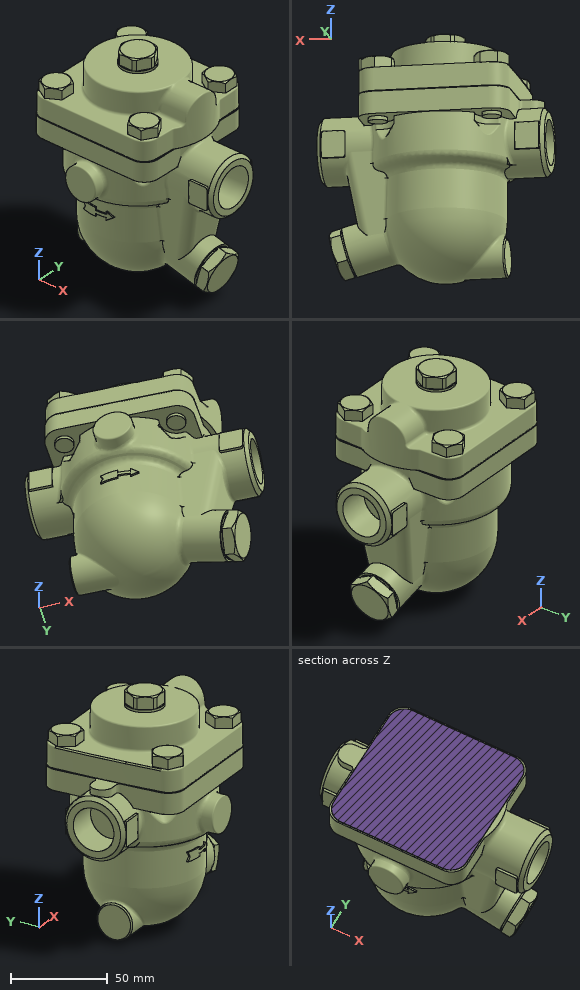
import cadquery as cq
import math

ON_SURFACE = 0.001
NEAR = 1.0
TALL = 90.0
OVERLAP = 6.0

UPPER_R = 39.0
BOWL_R = 32.0
SHOULDER_TOP_Z = -14.1
SHOULDER_BOTTOM_Z = -16.5
SHOULDER_FILLET = 4.2
DOME_Z = -40.3
UPPER_WALL_BOTTOM_Z = -11.0
BOWL_WALL_TOP_Z = -19.0

FLANGE_BOTTOM_Z = 9.7
SPLIT_Z = 22.0
COVER_TOP_Z = 34.6
PLATE_HALF_WIDTH = 40.0
PLATE_CORNER_R = 9.2
COVER_SIDE_X = 39.3
COVER_BOW = 0.9
COVER_EDGE_FILLET = 0.8
BULGE_CENTRE_X = 9.5
COVER_BULGE_R = 35.7
FLANGE_BULGE_R = 33.0
BULGE_FILLET = 2.5
GASKET_GAP = 0.3
GASKET_INSET = 0.8
FLANGE_TOP_Z = SPLIT_Z - GASKET_GAP

CAP_R = 56.5 / 2
CAP_TOP_Z = 49.7
CAP_TOP_FILLET = 1.2
CAP_BASE_FILLET = 1.9
PASSAGE_R = 12.2
PASSAGE_Z = 37.2
PASSAGE_BASE_FILLET = 2.4

BOLT_POS = 30.0
BOLT_FLATS = 16.0
BOLT_HEAD_TOP_Z = 41.1
BOLT_D = 10.0
BOLT_END_Z = 7.7
RELIEF_R = 9.0
RELIEF_CONE_Z = 5.8
RELIEF_TIP_Z = -5.5
RELIEF_EDGE_FILLET = 1.3
HEX_CHAMFER_ANGLE = 30.0
HEX_FACE_RATIO = 0.97
HEX_CLEARANCE = 1.05

TOP_PLUG_D = 21.0
TOP_PLUG_ROUND_D = 20.8
TOP_PLUG_FLATS = 19.0
TOP_PLUG_COLLAR = 1.4
TOP_PLUG_Z = 58.2

PORT_R = 36.0 / 2
INLET_X = -55.0
OUTLET_X = 65.0
PORT_CHAMFER = 2.1
PORT_ROOT_FILLET = 2.0
PORT_FLARE_R = 19.8
BORE_MOUTH_R = 12.0
BORE_END_R = 11.7
THREAD_LENGTH = 12.0
BORE_DEPTH = 18.0
FLAT_LENGTH = 12.5
FLAT_HEIGHT = 14.2
INLET_FLAT_X = -46.05
OUTLET_FLAT_X = 56.0
OUTLET_FLAT_CORNER_R = 1.2

LUG_R = 6.2
LUG_X = -46.0
LUG_TOP_Z = FLANGE_TOP_Z
LUG_ROOT_FILLET = 2.0

BOSS_R = 21.0 / 2
FRONT_BOSS_Z = -2.8
FRONT_BOSS_Y = -46.0
LOW_BOSS_X = -32.9
LOW_BOSS_Z = -60.6
BOSS_EDGE = 0.8
FRONT_BOSS_FILLET = 2.5
LOW_BOSS_FILLET = 1.5

STRAINER_ANGLE = 15.0
STRAINER_END_X = 50.5
STRAINER_END_Z = -53.8
STRAINER_R = 27.0 / 2
STRAINER_LENGTH = 40.0
GASKET_R = 12.4
GASKET_THICKNESS = 0.9
STRAINER_PLUG_FLATS = 24.0
STRAINER_PLUG_THICKNESS = 6.6
STRAINER_ROOT_FILLET = 3.5

RIB_EDGE_ANGLE = 10.7
RIB_TOP_Z = 0.0
RIB_TOP_X = 52.8
RIB_BOTTOM_Z = -54.0
RIB_TOP_HALF_WIDTH = 17.8
RIB_SIDE_SLOPE = 0.09
RIB_EDGE_FILLET = 6.0
RIB_ROOT_FILLET = 2.0
RIB_ROOT_TOP_Z = -4.0

ARROW_Z = -26.0
ARROW_TAIL_X = -10.3
ARROW_NOTCH_X = -8.8
ARROW_STEP_X = -0.7
ARROW_HEAD_X = 6.0
ARROW_TIP_X = 10.2
ARROW_HALF_HEIGHT = 2.7
ARROW_SHAFT_HALF_HEIGHT = 1.0
ARROW_HEIGHT = 0.9


def cylinder_between(start, direction, radius, length):
    """A solid cylinder from a start point along a direction."""
    solid = cq.Solid.makeCylinder(radius, length, cq.Vector(*start), cq.Vector(*direction))
    return cq.Workplane(obj=solid)


def fillet_meeting_edges(combined, first, second, radius):
    """Fillet the edges of a combined shape that lie on the surfaces of both its inputs."""
    first_faces = cq.Compound.makeCompound(first.faces().vals())
    second_faces = cq.Compound.makeCompound(second.faces().vals())
    meeting_edges = []
    for edge in combined.edges().vals():
        middle = cq.Vertex.makeVertex(*edge.positionAt(0.5).toTuple())
        if max(middle.distance(first_faces), middle.distance(second_faces)) < ON_SURFACE:
            meeting_edges.append(edge)
    return combined.newObject(meeting_edges).fillet(radius)


def blend(body, part, radius):
    """Join a part to a body and fillet where their surfaces meet."""
    return fillet_meeting_edges(body.union(part), body, part, radius)


def relieve(body, cutter, radius):
    """Cut a body and round the edges of the cut."""
    return fillet_meeting_edges(body.cut(cutter), body, cutter, radius)


def hex_head(flats, thickness, round_d=math.inf):
    """Hexagonal head on the XY plane, corners on X, with a chamfered top and optional round corners."""
    corner_d = flats / math.cos(math.radians(30))
    disc_r = min(round_d, corner_d * HEX_CLEARANCE) / 2
    chamfer_width = disc_r - HEX_FACE_RATIO * flats / 2
    drop = chamfer_width * math.tan(math.radians(HEX_CHAMFER_ANGLE))
    hexagon = cq.Workplane("XY").polygon(6, corner_d).extrude(thickness)
    disc = cq.Workplane("XY").circle(disc_r).extrude(thickness)
    disc = disc.faces(">Z").edges().chamfer(drop, chamfer_width)
    return hexagon.intersect(disc)


def make_bowl():
    profile = (
        cq.Workplane("XZ")
        .moveTo(0, FLANGE_BOTTOM_Z + OVERLAP)
        .lineTo(UPPER_R, FLANGE_BOTTOM_Z + OVERLAP)
        .lineTo(UPPER_R, SHOULDER_TOP_Z)
        .lineTo(BOWL_R, SHOULDER_BOTTOM_Z)
        .lineTo(BOWL_R, DOME_Z)
        .radiusArc((0, DOME_Z - BOWL_R), BOWL_R)
        .close()
    )
    bowl = profile.revolve(360, (0, 0, 0), (0, 1, 0))
    middle = (SHOULDER_TOP_Z + SHOULDER_BOTTOM_Z) / 2
    margin = SHOULDER_TOP_Z - SHOULDER_BOTTOM_Z
    box = cq.selectors.BoxSelector(
        (-UPPER_R, -UPPER_R, middle - margin), (UPPER_R, UPPER_R, middle + margin)
    )
    return bowl.edges("%CIRCLE").edges(box).fillet(SHOULDER_FILLET)


def plate(bottom_z, top_z, side_x, bow, bulge_r):
    """Square plate with rounded corners, bowed X sides and an arc bulge toward +X."""
    half = PLATE_HALF_WIDTH
    outline = cq.Workplane("XY", origin=(0, 0, bottom_z)).moveTo(-side_x, -half).lineTo(side_x, -half)
    if bow:
        outline = outline.threePointArc((side_x + bow, 0), (side_x, half))
        outline = outline.lineTo(-side_x, half)
        outline = outline.threePointArc((-side_x - bow, 0), (-side_x, -half))
    else:
        outline = outline.lineTo(side_x, half).lineTo(-side_x, half)
    body = outline.close().extrude(top_z - bottom_z)
    body = body.edges("|Z").fillet(PLATE_CORNER_R)
    bulge = (
        cq.Workplane("XY", origin=(BULGE_CENTRE_X, 0, bottom_z)).circle(bulge_r).extrude(top_z - bottom_z)
    )
    body = body.union(bulge)
    near_bulge = cq.selectors.BoxSelector((0, -BOLT_POS, bottom_z), (OUTLET_X, BOLT_POS, top_z))
    return body.edges("|Z").edges(near_bulge).fillet(BULGE_FILLET)


def make_flange():
    """Body flange with the cover gasket, set back slightly, on top."""
    flange = plate(FLANGE_BOTTOM_Z, FLANGE_TOP_Z, PLATE_HALF_WIDTH, 0, FLANGE_BULGE_R)
    gasket_width = 2 * (PLATE_HALF_WIDTH - GASKET_INSET)
    gasket = cq.Workplane("XY", origin=(0, 0, FLANGE_TOP_Z - GASKET_GAP)).rect(gasket_width, gasket_width)
    gasket = gasket.extrude(2 * GASKET_GAP).edges("|Z").fillet(PLATE_CORNER_R)
    return flange.union(gasket)


def make_passage():
    """Side passage: half cylinder on a straight-sided foot, ending on the bulge arc."""
    foot_height = PASSAGE_Z - SPLIT_Z
    foot = cq.Workplane("XY").box(OUTLET_X, 2 * PASSAGE_R, foot_height, centered=(False, True, False))
    passage = foot.translate((0, 0, SPLIT_Z))
    passage = passage.union(cylinder_between((0, 0, PASSAGE_Z), (1, 0, 0), PASSAGE_R, OUTLET_X))
    limit = (
        cq.Workplane("XY", origin=(BULGE_CENTRE_X, 0, SPLIT_Z))
        .circle(COVER_BULGE_R)
        .extrude(PASSAGE_Z + PASSAGE_R)
    )
    return passage.intersect(limit)


def make_cover():
    cover = plate(SPLIT_Z, COVER_TOP_Z, COVER_SIDE_X, COVER_BOW, COVER_BULGE_R)
    cover = cover.union(make_passage())
    passage_foot = cq.selectors.BoxSelector(
        (0, -PASSAGE_R - NEAR, COVER_TOP_Z - NEAR), (OUTLET_X, PASSAGE_R + NEAR, COVER_TOP_Z + NEAR)
    )
    cover = cover.edges("|X").edges(passage_foot).fillet(PASSAGE_BASE_FILLET)

    cap = cq.Workplane("XY", origin=(0, 0, SPLIT_Z)).circle(CAP_R).extrude(CAP_TOP_Z - SPLIT_Z)
    cap = cap.faces(">Z").edges().fillet(CAP_TOP_FILLET)
    cover = cover.union(cap)
    reach = CAP_R + NEAR
    cap_root = cq.selectors.BoxSelector(
        (-reach, -reach, COVER_TOP_Z - NEAR), (reach, reach, COVER_TOP_Z + NEAR), boundingbox=True
    )
    cover = cover.edges("%CIRCLE").edges(cap_root).fillet(CAP_BASE_FILLET)

    front_rim = cq.selectors.NearestToPointSelector((0, -PLATE_HALF_WIDTH, COVER_TOP_Z))
    return cover.edges(front_rim).fillet(COVER_EDGE_FILLET)


def corner_points():
    signs = (-1, 1)
    return [(x * BOLT_POS, y * BOLT_POS) for x in signs for y in signs]


def make_bolt(x, y):
    head = hex_head(BOLT_FLATS, BOLT_HEAD_TOP_Z - COVER_TOP_Z)
    if x * y > 0:
        head = head.rotate((0, 0, 0), (0, 0, 1), 90)
    head = head.translate((x, y, COVER_TOP_Z))
    shank = cylinder_between((x, y, BOLT_END_Z), (0, 0, 1), BOLT_D / 2, COVER_TOP_Z - BOLT_END_Z)
    return head.union(shank)


def make_bolt_relief(x, y):
    profile = (
        cq.Workplane("XZ")
        .moveTo(0, RELIEF_TIP_Z)
        .lineTo(RELIEF_R, RELIEF_CONE_Z)
        .lineTo(RELIEF_R, SPLIT_Z)
        .lineTo(0, SPLIT_Z)
        .close()
    )
    return profile.revolve(360, (0, 0, 0), (0, 1, 0)).translate((x, y, 0))


def make_port(end_x):
    direction = math.copysign(1, end_x)
    port = cylinder_between((0, 0, 0), (direction, 0, 0), PORT_R, abs(end_x))
    return port.faces(">X" if direction > 0 else "<X").edges().chamfer(PORT_CHAMFER)


def tall_cylinder(radius, centre_x=0):
    """Upright cylinder long enough to stand in for one wall of the body."""
    return cq.Workplane("XY").center(centre_x, 0).circle(radius).extrude(TALL, both=True)


def make_port_root(end_x):
    """The port with its fillet against the upper bowl wall, trimmed to the port's surroundings."""
    port = make_port(end_x)
    root = blend(tall_cylinder(UPPER_R), port, PORT_ROOT_FILLET)
    direction = (math.copysign(1, end_x), 0, 0)
    root = root.intersect(cylinder_between((0, 0, 0), direction, PORT_FLARE_R, abs(end_x)))
    above_shoulder = cq.Workplane("XY").box(TALL * 2, TALL, TALL, centered=(True, True, False))
    root = root.intersect(above_shoulder.translate((0, 0, SHOULDER_TOP_Z)))
    return root.union(port)


def make_bulge_root():
    """Fillet between the flange bulge and the outlet, within the height of the flange."""
    bulge = tall_cylinder(FLANGE_BULGE_R, BULGE_CENTRE_X)
    root = blend(bulge, make_port(OUTLET_X), PORT_ROOT_FILLET)
    zone = cq.Workplane("XY").box(
        OUTLET_X - FLAT_LENGTH - BOLT_POS, 2 * PORT_R, FLANGE_TOP_Z - FLANGE_BOTTOM_Z,
        centered=(False, True, False),
    )
    return root.intersect(zone.translate((BOLT_POS, 0, FLANGE_BOTTOM_Z)))


def make_port_bore(end_x):
    """Tapered thread bore followed by a plain bore, cut inward from the port face."""
    profile = (
        cq.Workplane("XY")
        .lineTo(0, BORE_MOUTH_R)
        .lineTo(THREAD_LENGTH, BORE_END_R)
        .lineTo(BORE_DEPTH, BORE_END_R)
        .lineTo(BORE_DEPTH, 0)
        .close()
    )
    bore = profile.revolve(360, (0, 0, 0), (1, 0, 0))
    if end_x > 0:
        bore = bore.mirror("YZ")
    return bore.translate((end_x, 0, 0))


def make_port_flats(centre_x, corner_r):
    flats = cq.Workplane("XY").box(FLAT_LENGTH, 2 * PORT_R, FLAT_HEIGHT)
    if corner_r:
        flats = flats.edges("|Y").fillet(corner_r)
    return flats.translate((centre_x, 0, 0))


def make_lug():
    """Round-ended lug between the inlet and the flange, flared where it meets the flange."""
    length = -PLATE_HALF_WIDTH - LUG_X
    height = LUG_TOP_Z - FLANGE_BOTTOM_Z
    half_width = 2 * LUG_R
    lug = cq.Workplane("XY").circle(LUG_R).extrude(height)
    bar = cq.Workplane("XY").box(length + OVERLAP, 2 * LUG_R, height, centered=(False, True, False))
    strip = cq.Workplane("XY").box(OVERLAP, 2 * half_width, height, centered=(False, True, False))
    lug = lug.union(bar).union(strip.translate((length, 0, 0)))
    lug = lug.translate((LUG_X, 0, FLANGE_BOTTOM_Z))
    corners = cq.selectors.BoxSelector(
        (-PLATE_HALF_WIDTH - NEAR, NEAR - half_width, FLANGE_BOTTOM_Z),
        (-PLATE_HALF_WIDTH + NEAR, half_width - NEAR, LUG_TOP_Z),
    )
    return lug.edges("|Z").edges(corners).fillet(LUG_ROOT_FILLET)


def make_front_boss():
    boss = cylinder_between((0, 0, FRONT_BOSS_Z), (0, -1, 0), BOSS_R, -FRONT_BOSS_Y)
    return boss.faces("<Y").edges().fillet(BOSS_EDGE)


def make_low_boss():
    boss = cylinder_between((LOW_BOSS_X, 0, LOW_BOSS_Z), (1, 0, 0), BOSS_R, -LOW_BOSS_X)
    return boss.faces("<X").edges().chamfer(BOSS_EDGE)


def strainer_point(distance):
    """Point on the strainer axis, measured outward from the end of its holder."""
    angle = math.radians(STRAINER_ANGLE)
    return (
        STRAINER_END_X + distance * math.cos(angle),
        0,
        STRAINER_END_Z - distance * math.sin(angle),
    )


def strainer_direction():
    angle = math.radians(STRAINER_ANGLE)
    return (math.cos(angle), 0, -math.sin(angle))


def make_strainer_holder():
    return cylinder_between(
        strainer_point(-STRAINER_LENGTH), strainer_direction(), STRAINER_R, STRAINER_LENGTH
    )


def make_strainer_plug():
    gasket = cylinder_between(
        strainer_point(-OVERLAP), strainer_direction(), GASKET_R, GASKET_THICKNESS + OVERLAP
    )
    head = hex_head(STRAINER_PLUG_FLATS, STRAINER_PLUG_THICKNESS)
    head = head.rotate((0, 0, 0), (0, 1, 0), 90 + STRAINER_ANGLE)
    head = head.translate(strainer_point(GASKET_THICKNESS))
    return gasket.union(head)


def make_rib():
    height = RIB_TOP_Z - RIB_BOTTOM_Z
    bottom_x = RIB_TOP_X - height * math.tan(math.radians(RIB_EDGE_ANGLE))
    bottom_half_width = RIB_TOP_HALF_WIDTH - height * RIB_SIDE_SLOPE
    axis_slope = math.tan(math.radians(STRAINER_ANGLE))
    inner_z = STRAINER_END_Z + axis_slope * STRAINER_END_X
    outer_z = inner_z - axis_slope * bottom_x
    side = (
        cq.Workplane("XZ")
        .moveTo(0, RIB_TOP_Z)
        .lineTo(RIB_TOP_X, RIB_TOP_Z)
        .lineTo(bottom_x, RIB_BOTTOM_Z)
        .lineTo(bottom_x, outer_z)
        .lineTo(0, inner_z)
        .close()
        .extrude(RIB_TOP_HALF_WIDTH, both=True)
    )
    front = (
        cq.Workplane("YZ")
        .moveTo(-RIB_TOP_HALF_WIDTH, RIB_TOP_Z)
        .lineTo(RIB_TOP_HALF_WIDTH, RIB_TOP_Z)
        .lineTo(bottom_half_width, RIB_BOTTOM_Z)
        .lineTo(-bottom_half_width, RIB_BOTTOM_Z)
        .close()
        .extrude(RIB_TOP_X)
    )
    rib = side.intersect(front)
    outer_point = ((RIB_TOP_X + bottom_x) / 2, 0, (RIB_TOP_Z + RIB_BOTTOM_Z) / 2)
    outer_face = rib.faces(cq.selectors.NearestToPointSelector(outer_point))
    return outer_face.edges("not |Y").fillet(RIB_EDGE_FILLET)


def make_rib_root(wall_r, bottom_z, top_z):
    """Fillets between the rib sides and one cylindrical wall of the bowl."""
    root = blend(tall_cylinder(wall_r), make_rib(), RIB_ROOT_FILLET)
    width = 2 * (RIB_TOP_HALF_WIDTH + 2 * RIB_ROOT_FILLET)
    zone = cq.Workplane("XY").box(wall_r, width, top_z - bottom_z, centered=(False, True, False))
    return root.intersect(zone.translate((wall_r / 2, 0, bottom_z)))


def make_top_plug():
    seat_z = CAP_TOP_Z + TOP_PLUG_COLLAR
    collar = cylinder_between((0, 0, SPLIT_Z), (0, 0, 1), TOP_PLUG_D / 2, seat_z - SPLIT_Z)
    head = hex_head(TOP_PLUG_FLATS, TOP_PLUG_Z - seat_z, TOP_PLUG_ROUND_D)
    return collar.union(head.translate((0, 0, seat_z)))


def make_arrow():
    upper = [
        (ARROW_NOTCH_X, 0),
        (ARROW_TAIL_X, ARROW_HALF_HEIGHT),
        (ARROW_STEP_X, ARROW_HALF_HEIGHT),
        (ARROW_STEP_X, ARROW_SHAFT_HALF_HEIGHT),
        (ARROW_HEAD_X, ARROW_SHAFT_HALF_HEIGHT),
        (ARROW_HEAD_X, ARROW_HALF_HEIGHT),
        (ARROW_TIP_X, 0),
    ]
    lower = [(x, -z) for x, z in reversed(upper[1:-1])]
    arrow = cq.Workplane("XZ", origin=(0, 0, ARROW_Z)).polyline(upper + lower).close()
    arrow = arrow.extrude(BOWL_R + OVERLAP)
    shell = cq.Workplane("XY", origin=(0, 0, ARROW_Z - OVERLAP)).circle(BOWL_R + ARROW_HEIGHT)
    return arrow.intersect(shell.extrude(2 * OVERLAP))


def make_cover_assembly():
    cover = make_cover().union(make_top_plug())
    for x, y in corner_points():
        cover = cover.union(make_bolt(x, y))
    return cover


def make_body():
    body = blend(make_bowl(), make_front_boss(), FRONT_BOSS_FILLET)
    body = blend(body, make_low_boss(), LOW_BOSS_FILLET)
    body = blend(body, make_strainer_holder(), STRAINER_ROOT_FILLET)
    for x, y in corner_points():
        body = relieve(body, make_bolt_relief(x, y), RELIEF_EDGE_FILLET)
    body = body.union(make_port_root(INLET_X)).union(make_flange())
    body = body.union(make_port_root(OUTLET_X)).union(make_bulge_root())
    body = body.union(blend(make_port(OUTLET_X), make_rib(), RIB_ROOT_FILLET))
    body = body.union(make_rib_root(BOWL_R, DOME_Z, BOWL_WALL_TOP_Z))
    body = body.union(make_rib_root(UPPER_R, UPPER_WALL_BOTTOM_Z, RIB_ROOT_TOP_Z))
    body = body.union(make_lug())
    body = body.union(make_port_flats(INLET_FLAT_X, 0))
    body = body.union(make_port_flats(OUTLET_FLAT_X, OUTLET_FLAT_CORNER_R))
    body = body.union(make_strainer_plug()).union(make_arrow())
    for end in (INLET_X, OUTLET_X):
        body = body.cut(make_port_bore(end))
    return body


result = make_body().union(make_cover_assembly())